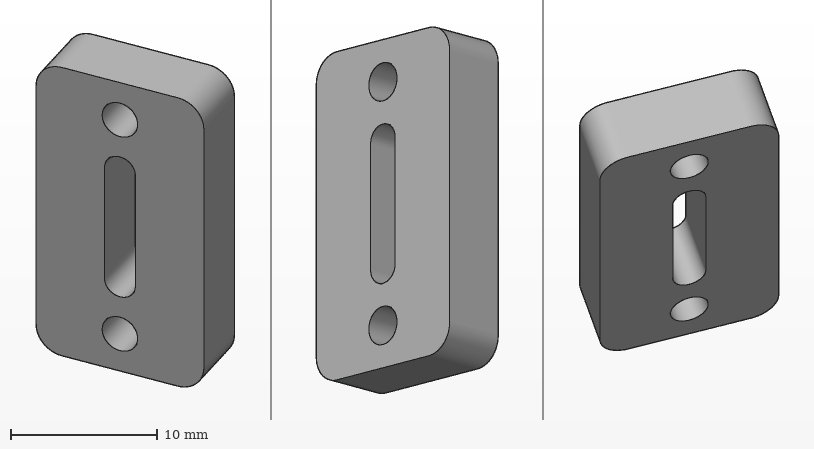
import cadquery as cq

width = 12.8
thickness = 4.75
height = 23.3
corner_radius = 2.0

hole_diameter = 2.7
hole_spacing = 17.3
slot_width = 2.35
slot_length = 11.3

plate = cq.Workplane("XY").box(width, thickness, height).edges("|Y").fillet(corner_radius)

plate = (
    plate.faces("<Y")
    .workplane(centerOption="CenterOfBoundBox")
    .pushPoints([(0, -hole_spacing / 2), (0, hole_spacing / 2)])
    .hole(hole_diameter)
)

result = (
    plate.faces("<Y")
    .workplane(centerOption="CenterOfBoundBox")
    .slot2D(slot_length, slot_width, angle=90)
    .cutThruAll()
)